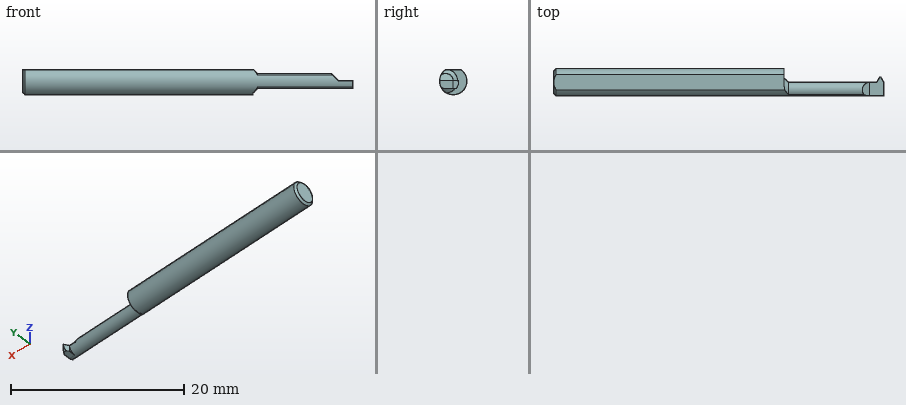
import math

import cadquery as cq

overall_length = 38.1
shank_diameter = 3.175
shank_length = 26.6
height_over_flat = 2.91
rear_chamfer = 0.27

neck_radius = 0.88
transition_length = 0.5

ramp_start = 35.62
rake_face_height = 0.05
tooth_height = 0.63
tooth_angle = 60
tooth_tip_flat = 0.1

shank_radius = shank_diameter / 2
flat_height = height_over_flat - shank_radius
neck_y = -neck_radius


def x_cylinder(radius, length, center_y=0.0):
    """Cylinder along X, starting at the rear face plane."""
    return cq.Workplane("YZ", origin=(0, center_y, 0)).circle(radius).extrude(length)


def flatted_bar(length):
    """Round bar with the chamfered rear end and the clamping flat on top."""
    bar = x_cylinder(shank_radius, length).faces("<X").chamfer(rear_chamfer)
    above_flat = (
        cq.Workplane("XY", origin=(0, 0, flat_height))
        .rect(2 * length, shank_diameter)
        .extrude(shank_radius)
    )
    return bar.cut(above_flat)


def make_neck():
    """Neck with its conical root, trimmed to the envelope of the bar."""
    root_radius = neck_radius + transition_length
    neck = (
        cq.Workplane("XY", origin=(0, neck_y, 0))
        .moveTo(shank_length, 0)
        .lineTo(shank_length, root_radius)
        .lineTo(shank_length + transition_length, neck_radius)
        .lineTo(overall_length, neck_radius)
        .lineTo(overall_length, 0)
        .close()
        .revolve(axisStart=(0, 0, 0), axisEnd=(1, 0, 0))
    )
    return neck.intersect(flatted_bar(overall_length))


def make_tooth():
    """Pointed thread-cutting tooth on the inner side of the neck, its tip rounded about the neck axis."""
    half_tip = tooth_tip_flat / 2
    half_base = half_tip + tooth_height * math.tan(math.radians(tooth_angle / 2))
    tooth_tip_x = overall_length - half_base
    prism = (
        cq.Workplane("XY", origin=(0, 0, -neck_radius))
        .polyline([
            (tooth_tip_x - half_base, neck_y),
            (tooth_tip_x - half_base, 0),
            (tooth_tip_x - half_tip, tooth_height),
            (tooth_tip_x + half_tip, tooth_height),
            (overall_length, 0),
            (overall_length, neck_y),
        ])
        .close()
        .extrude(neck_radius + rake_face_height)
    )
    swept_envelope = x_cylinder(neck_radius + tooth_height, overall_length, center_y=neck_y)
    return prism.intersect(swept_envelope)


def make_rake_clearance():
    """Space above the cutting face, reached by a 45 degree ramp."""
    top = 2 * neck_radius
    beyond_end = overall_length + neck_radius
    ramp_foot = ramp_start + neck_radius - rake_face_height
    return (
        cq.Workplane("XZ", origin=(0, shank_diameter, 0))
        .moveTo(ramp_foot, rake_face_height)
        .lineTo(beyond_end, rake_face_height)
        .lineTo(beyond_end, top)
        .lineTo(ramp_start + neck_radius - top, top)
        .close()
        .extrude(2 * shank_diameter)
    )


head = make_neck().cut(make_rake_clearance()).union(make_tooth())
result = flatted_bar(shank_length).union(head)